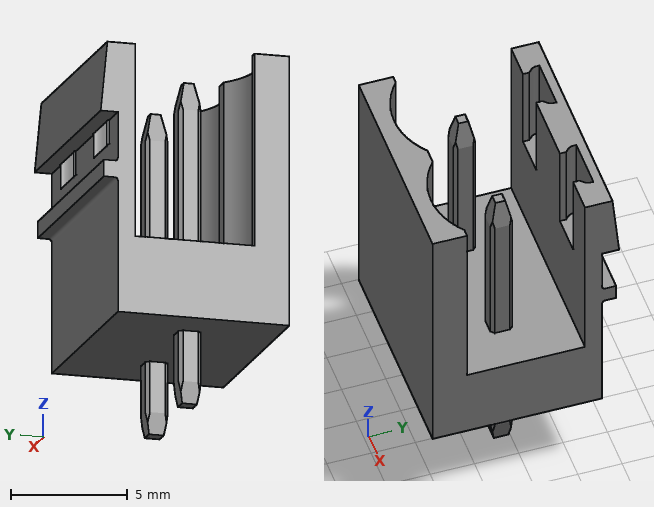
import cadquery as cq

pole_count = 2
pitch = 5.0
pole_positions = [(i - (pole_count - 1) / 2) * pitch for i in range(pole_count)]

housing_width = pole_count * pitch
housing_height = 12.0
housing_depth = 7.66
base_height = 3.43
front_wall = 1.56
back_wall = 0.78
back_wall_inside = housing_depth - back_wall

hook_reach = 0.77
hook_top_reach = 0.47
hook_height = 3.1
hook_bottom = housing_height - hook_height
rib_reach = 0.63
rib_height = 0.74
rib_bottom = 5.98
rib_root_radius = 0.15

groove_depth = 0.83
groove_length = 4.15
groove_mouth_width = 1.79
groove_back_width = 2.32
groove_lip = 0.28
groove_flare = (groove_back_width - groove_mouth_width) / 2
groove_corner_radius = 0.4

scallop_width = 4.3
scallop_depth = 0.8

pin_width = 1.0
pin_chamfer = 0.16
pin_center_y = 3.82
pin_top = 11.12
pin_bottom = -3.2
pin_length = pin_top - pin_bottom
top_tip_width = 0.44
top_taper_length = 1.27
bottom_tip_width = 0.66
bottom_taper_length = 0.94


def housing_body():
    """Side profile of the channel with its hook and rib, extruded across the width."""
    rib_outside = housing_depth + rib_reach
    rib_top = rib_bottom + rib_height
    root = rib_root_radius
    body = (
        cq.Workplane("YZ", origin=(-housing_width / 2, 0, 0))
        .moveTo(0, 0)
        .lineTo(housing_depth, 0)
        .lineTo(housing_depth, rib_bottom - root)
        .radiusArc((housing_depth + root, rib_bottom), root)
        .lineTo(rib_outside, rib_bottom)
        .lineTo(rib_outside, rib_top)
        .lineTo(housing_depth + root, rib_top)
        .radiusArc((housing_depth, rib_top + root), root)
        .lineTo(housing_depth, hook_bottom)
        .lineTo(housing_depth + hook_reach, hook_bottom)
        .lineTo(housing_depth + hook_top_reach, housing_height)
        .lineTo(back_wall_inside, housing_height)
        .lineTo(back_wall_inside, base_height)
        .lineTo(front_wall, base_height)
        .lineTo(front_wall, housing_height)
        .lineTo(0, housing_height)
        .close()
        .extrude(housing_width)
    )
    return body


def keying_groove(x):
    """Groove down from the top of the back wall, flaring at 45 degrees to a wider back."""
    half_mouth = groove_mouth_width / 2
    half_back = groove_back_width / 2
    flare_end = groove_lip + groove_flare
    groove = (
        cq.Workplane("XY", origin=(x, back_wall_inside, housing_height))
        .moveTo(-half_mouth, 0)
        .lineTo(-half_mouth, groove_lip)
        .lineTo(-half_back, flare_end)
        .lineTo(-half_back, groove_depth)
        .lineTo(half_back, groove_depth)
        .lineTo(half_back, flare_end)
        .lineTo(half_mouth, groove_lip)
        .lineTo(half_mouth, 0)
        .close()
        .extrude(-groove_length)
    )
    for side in (-1, 1):
        corner_x = x + side * half_back
        corner_y = back_wall_inside + flare_end
        flare_corner = (corner_x, corner_y, housing_height - groove_length / 2)
        groove = groove.edges(cq.NearestToPointSelector(flare_corner)).fillet(groove_corner_radius)
    return groove


def scallop(x):
    """Shallow cylindrical hollow in the front wall, from the base to the top."""
    half_width = scallop_width / 2
    return (
        cq.Workplane("XY", origin=(x, front_wall, base_height))
        .moveTo(-half_width, 0)
        .threePointArc((0, -scallop_depth), (half_width, 0))
        .close()
        .extrude(housing_height - base_height)
    )


def pin_taper(x, z, tip_width, signed_length):
    """Square frustum from the full pin width at height z to the tip."""
    return (
        cq.Workplane("XY", origin=(x, pin_center_y, z))
        .rect(pin_width, pin_width)
        .workplane(offset=signed_length)
        .rect(tip_width, tip_width)
        .loft(ruled=True)
    )


def pin_body(x):
    """Square pin with chamfered long edges and a tapered tip at each end."""
    shank_bottom = pin_bottom + bottom_taper_length
    shank_top = pin_top - top_taper_length
    chamfered_bar = (
        cq.Workplane("XY", origin=(x, pin_center_y, pin_bottom))
        .rect(pin_width, pin_width)
        .extrude(pin_length)
        .edges("|Z")
        .chamfer(pin_chamfer)
    )
    tapered_bar = (
        cq.Workplane("XY", origin=(x, pin_center_y, shank_bottom))
        .rect(pin_width, pin_width)
        .extrude(shank_top - shank_bottom)
        .union(pin_taper(x, shank_top, top_tip_width, top_taper_length))
        .union(pin_taper(x, shank_bottom, bottom_tip_width, -bottom_taper_length))
    )
    return chamfered_bar.intersect(tapered_bar)


pins = [pin_body(x) for x in pole_positions]

housing = housing_body()
for x, pin in zip(pole_positions, pins):
    housing = housing.cut(keying_groove(x))
    housing = housing.cut(scallop(x))
    housing = housing.cut(pin)

result = cq.Compound.makeCompound([housing.val(), *[pin.val() for pin in pins]])